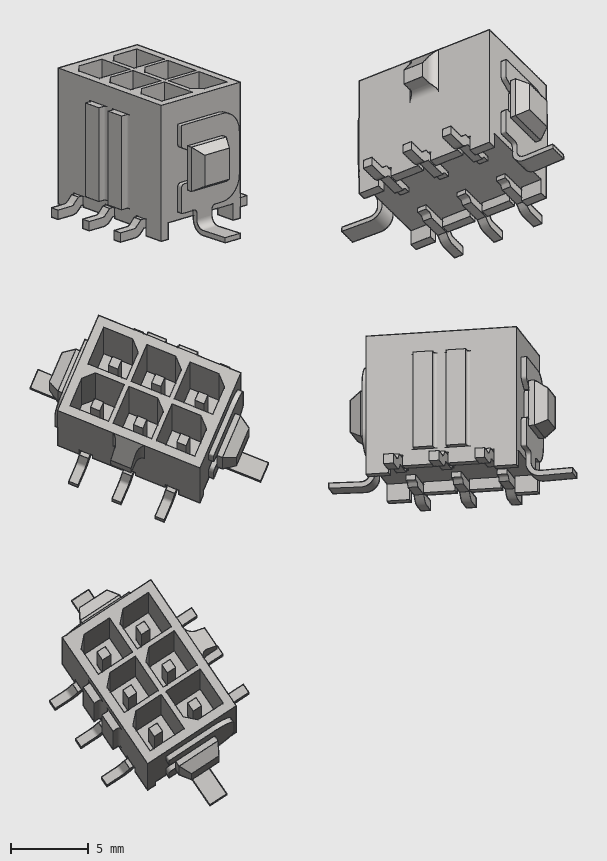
import cadquery as cq
import math

body_width = 9.9
body_depth = 6.83
body_height = 9.24
underside_z = 1.12
long_wall_thickness = 0.63
wall_foot_z = 0.4
corner_leg_width = 1.49

pitch = 3.0
column_xs = [-pitch, 0, pitch]
row_ys = [-pitch / 2, pitch / 2]
cavity_width = 2.68
cavity_depth = 2.63
cavity_chamfer = 0.67
cavity_floor_z = 2.25

pin_size = 0.64
pin_top_z = 6.74
tail_reach = 5.47
tail_low_z = 0.48
tail_bend_y = 3.7
tail_inner_end = 1.05
tail_relief_start = 1.7
tail_relief_end = 1.5
tail_relief_height = 0.29
tail_relief_radius = 0.16
tail_top_radius = 0.32
tail_bottom_radius = 0.8
tail_notch_width = 0.93

rib_width = 1.28
rib_height = 0.53
rib_bottom_z = 1.45
rib_top_z = 7.81
rib_center_x = 1.09
rib_root_radius = 0.2

latch_reach = 1.32
latch_width = 1.41
latch_tip_top_z = 7.45
latch_bottom_z = 6.3
latch_flare_side = 0.38
latch_flare_reach = 0.63
latch_root_drop = 0.5
latch_root_reach = 0.42

clip_thickness = 0.35
clip_front_y = -3.0
clip_back_y = 2.0
clip_bottom_z = 1.64
clip_top_z = 7.64
clip_big_radius = 1.5
clip_small_radius = 0.1
clip_leg_width = 1.32
clip_leg_root_radius = 0.25
clip_bend_inner_radius = 0.58
clip_foot_tilt = math.radians(1.5)
overall_width = 16.04

slot_bottom_z = 3.63
slot_top_z = 5.68
slot_mouth_z = 6.13
slot_taper_y = 1.12
slot_end_y = -0.96
slot_mouth_radius = 0.29

peg_size = 3.02
peg_tip_size = 2.12
peg_center_z = 4.65
peg_neck_length = 0.38
peg_base_length = 0.38
peg_taper_length = 0.79
neck_corner_radius = 0.25

half_width = body_width / 2
half_depth = body_depth / 2

overlap = 0.16


def block(x0, x1, y0, y1, z0, z1):
    """Box given by its limits along each axis."""
    return cq.Workplane("XY").box(x1 - x0, y1 - y0, z1 - z0, centered=False).translate((x0, y0, z0))


def half_turn(shape):
    """Copy of a shape turned 180 degrees about Z."""
    return shape.rotate((0, 0, 0), (0, 0, 1), 180)


def make_housing():
    housing = block(-half_width, half_width, -half_depth, half_depth, 0, body_height)

    inner_y = half_depth - long_wall_thickness
    housing = housing.cut(block(-half_width, half_width, -inner_y, inner_y, 0, underside_z))

    leg_x = half_width - corner_leg_width
    housing = housing.cut(block(-leg_x, leg_x, -half_depth, half_depth, 0, wall_foot_z))
    half_notch = tail_notch_width / 2
    for x in column_xs:
        housing = housing.cut(
            block(x - half_notch, x + half_notch, -half_depth, half_depth, 0, underside_z)
        )

    for x in column_xs:
        for y in row_ys:
            housing = housing.cut(make_cavity(x, y))
    return housing


def make_cavity(x, y):
    """One cavity; only the +X +Y one is keyed on its +X side."""
    keyed_right = x > 0 and y > 0
    half_x = cavity_width / 2
    half_y = cavity_depth / 2
    cavity = block(-half_x, half_x, -half_y, half_y, cavity_floor_z, body_height)
    cavity = cavity.edges("|Z and <Y").edges(">X" if keyed_right else "<X").chamfer(cavity_chamfer)
    return cavity.translate((x, y, 0))


def make_tail():
    """Tail of one contact, formed in the YZ plane and leaving towards +Y."""
    slope_shift = pin_size * math.tan(math.pi / 8)
    foot_top_y = tail_bend_y + tail_low_z
    relief_z = tail_low_z + tail_relief_height
    outline = [
        (tail_inner_end, underside_z),
        (tail_bend_y, underside_z),
        (foot_top_y, pin_size),
        (tail_reach, pin_size),
        (tail_reach, 0),
        (foot_top_y - slope_shift, 0),
        (tail_bend_y - slope_shift, tail_low_z),
        (tail_relief_start, tail_low_z),
        (tail_relief_end, relief_z),
        (tail_inner_end, relief_z),
    ]
    tail = cq.Workplane("YZ").polyline(outline).close().extrude(pin_size / 2, both=True)
    rounded_corners = [
        (foot_top_y, pin_size, tail_top_radius),
        (foot_top_y - slope_shift, 0, tail_bottom_radius),
        (tail_relief_end, relief_z, tail_relief_radius),
    ]
    for y, z, radius in rounded_corners:
        tail = tail.edges(cq.selectors.NearestToPointSelector((0, y, z))).fillet(radius)
    return tail


def make_contacts():
    tail = make_tail()
    contacts = cq.Workplane("XY")
    half_pin = pin_size / 2
    for x in column_xs:
        contacts = contacts.union(tail.translate((x, 0, 0)))
        contacts = contacts.union(half_turn(tail).translate((x, 0, 0)))
        for y in row_ys:
            pin = block(-half_pin, half_pin, -half_pin, half_pin, cavity_floor_z - overlap, pin_top_z)
            contacts = contacts.union(pin.translate((x, y, 0)))
    return contacts


def make_rib(x):
    """Upright rib with filleted roots on the -Y wall."""
    wall_y = -half_depth
    root_y = wall_y - rib_root_radius
    half_rib = rib_width / 2
    half_root = half_rib + rib_root_radius
    return (
        cq.Workplane("XY", origin=(x, 0, rib_bottom_z))
        .moveTo(-half_root, wall_y + overlap)
        .lineTo(-half_root, wall_y)
        .radiusArc((-half_rib, root_y), rib_root_radius)
        .lineTo(-half_rib, wall_y - rib_height)
        .lineTo(half_rib, wall_y - rib_height)
        .lineTo(half_rib, root_y)
        .radiusArc((half_root, wall_y), rib_root_radius)
        .lineTo(half_root, wall_y + overlap)
        .close()
        .extrude(rib_top_z - rib_bottom_z)
    )


def arc_radius(offset, length):
    """Radius of an arc that leaves a line tangentially and drifts sideways by offset over length."""
    return (offset**2 + length**2) / (2 * offset)


def make_latch():
    """Sloping latch: a side profile limited to the flared width."""
    wall_y = half_depth
    tip_y = wall_y + latch_reach
    root_radius = arc_radius(latch_root_reach, latch_root_drop)
    profile = (
        cq.Workplane("YZ")
        .moveTo(wall_y - overlap, body_height)
        .lineTo(wall_y, body_height)
        .lineTo(tip_y, latch_tip_top_z)
        .lineTo(tip_y, latch_bottom_z)
        .lineTo(wall_y + latch_root_reach, latch_bottom_z)
        .radiusArc((wall_y, latch_bottom_z - latch_root_drop), -root_radius)
        .lineTo(wall_y - overlap, latch_bottom_z - latch_root_drop)
        .close()
        .extrude(half_width, both=True)
    )
    half_latch = latch_width / 2
    half_root = half_latch + latch_flare_side
    flare_y = wall_y + latch_flare_reach
    flare_radius = arc_radius(latch_flare_side, latch_flare_reach)
    plan = (
        cq.Workplane("XY")
        .moveTo(-half_root, wall_y - overlap)
        .lineTo(-half_root, wall_y)
        .radiusArc((-half_latch, flare_y), -flare_radius)
        .lineTo(-half_latch, tip_y)
        .lineTo(half_latch, tip_y)
        .lineTo(half_latch, flare_y)
        .radiusArc((half_root, wall_y), -flare_radius)
        .lineTo(half_root, wall_y - overlap)
        .close()
        .extrude(body_height)
    )
    return profile.intersect(plan)


def make_clip_plate():
    """Flat part of the -X clip with its slot opening towards +Y."""
    outer_x = -half_width - clip_thickness
    plate = block(outer_x, -half_width, clip_front_y, clip_back_y, clip_bottom_z, clip_top_z)
    plate = plate.edges("|X and <Y").fillet(clip_big_radius)
    plate = plate.edges("|X and >Y").fillet(clip_small_radius)
    slot = (
        cq.Workplane("YZ", origin=(outer_x, 0, 0))
        .polyline([
            (slot_end_y, slot_bottom_z),
            (clip_back_y, slot_bottom_z),
            (clip_back_y, slot_mouth_z),
            (slot_taper_y, slot_top_z),
            (slot_end_y, slot_top_z),
        ])
        .close()
        .extrude(clip_thickness)
    )
    plate = plate.cut(slot)
    for z in (slot_bottom_z, slot_mouth_z):
        mouth_edge = cq.selectors.NearestToPointSelector((outer_x + clip_thickness / 2, clip_back_y, z))
        plate = plate.edges("|X").edges(mouth_edge).fillet(slot_mouth_radius)
    return plate


def make_clip_leg():
    """Leg of the -X clip, bent outwards into a slightly rising foot."""
    outer_radius = clip_bend_inner_radius + clip_thickness
    face_x = half_width + clip_thickness
    bend_x = face_x + clip_bend_inner_radius
    bend_z = outer_radius

    def on_bend(radius, angle):
        return (bend_x + radius * math.cos(angle), bend_z + radius * math.sin(angle))

    foot_angle = 1.5 * math.pi + clip_foot_tilt
    mid_angle = (math.pi + foot_angle) / 2
    heel_x, heel_z = on_bend(outer_radius, foot_angle)
    toe_x = overall_width / 2
    toe_z = heel_z + (toe_x - heel_x) * math.tan(clip_foot_tilt)
    toe_top_x = toe_x - clip_thickness * math.sin(clip_foot_tilt)
    toe_top_z = toe_z + clip_thickness * math.cos(clip_foot_tilt)
    leg_top_z = clip_bottom_z + overlap

    leg = (
        cq.Workplane("XZ")
        .moveTo(half_width, leg_top_z)
        .lineTo(half_width, bend_z)
        .threePointArc(on_bend(outer_radius, mid_angle), (heel_x, heel_z))
        .lineTo(toe_x, toe_z)
        .lineTo(toe_top_x, toe_top_z)
        .lineTo(*on_bend(clip_bend_inner_radius, foot_angle))
        .threePointArc(on_bend(clip_bend_inner_radius, mid_angle), (face_x, bend_z))
        .lineTo(face_x, leg_top_z)
        .close()
        .extrude(clip_leg_width / 2, both=True)
    )
    return half_turn(leg)


def make_clip():
    clip = make_clip_plate().union(make_clip_leg())
    plate_x = -half_width - clip_thickness / 2
    for y in (-clip_leg_width / 2, clip_leg_width / 2):
        root_edge = cq.selectors.NearestToPointSelector((plate_x, y, clip_bottom_z))
        clip = clip.edges("|X").edges(root_edge).fillet(clip_leg_root_radius)
    return clip


def make_peg():
    """Peg on the -X wall: rounded neck, straight base and tapered tip."""
    neck_x = -half_width - peg_neck_length
    neck = block(neck_x, -half_width, slot_end_y, slot_taper_y, slot_bottom_z, slot_top_z)
    neck = neck.edges("|X and >Y").fillet(neck_corner_radius)
    base = (
        cq.Workplane("YZ", origin=(neck_x, 0, peg_center_z))
        .rect(peg_size, peg_size)
        .extrude(-peg_base_length)
    )
    tip = (
        base.faces("<X")
        .workplane(centerOption="CenterOfBoundBox")
        .rect(peg_size, peg_size)
        .workplane(offset=peg_taper_length)
        .rect(peg_tip_size, peg_tip_size)
        .loft(combine=False)
    )
    return neck.union(base).union(tip)


result = make_housing().union(make_contacts()).union(make_latch())
for rib_x in (-rib_center_x, rib_center_x):
    result = result.union(make_rib(rib_x))

end_fitting = make_clip().union(make_peg())
result = result.union(end_fitting).union(half_turn(end_fitting))